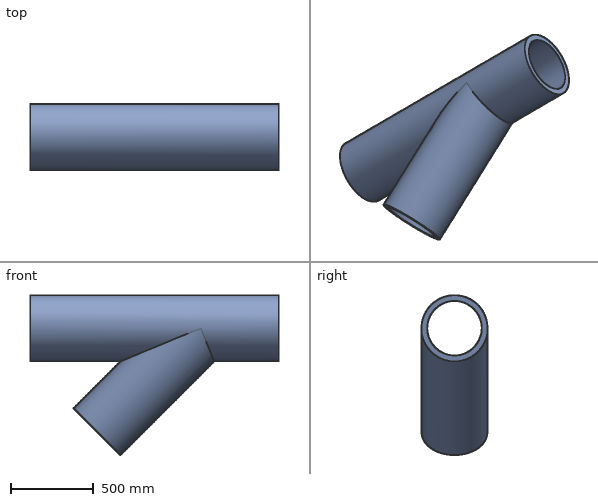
import cadquery as cq
import math

outer_diameter = 400.0
inner_diameter = 327.4
run_length = 1500.0
branch_angle = 45.0
branch_free_length = 400.0
heel_to_end = 390.0

outer_radius = outer_diameter / 2
angle = math.radians(branch_angle)

crotch_distance = outer_radius / math.tan(angle / 2)
heel_distance = outer_radius * math.tan(angle / 2)

branch_length = crotch_distance + branch_free_length
run_end_x = heel_distance + heel_to_end
run_start_x = run_end_x - run_length


def run_cylinder(diameter):
    """Cylinder over the full run, with the axis crossing at the origin."""
    return cq.Workplane("YZ", origin=(run_start_x, 0, 0)).circle(diameter / 2).extrude(run_length)


def branch_cylinder(diameter):
    """Cylinder from the axis crossing down and toward -X to the branch end."""
    direction = (-math.cos(angle), 0, -math.sin(angle))
    plane = cq.Plane(origin=(0, 0, 0), xDir=(0, 1, 0), normal=direction)
    return cq.Workplane(plane).circle(diameter / 2).extrude(branch_length)


def wye(diameter):
    """Run and branch of one diameter joined into a solid wye."""
    return run_cylinder(diameter).union(branch_cylinder(diameter))


result = wye(outer_diameter).cut(wye(inner_diameter))